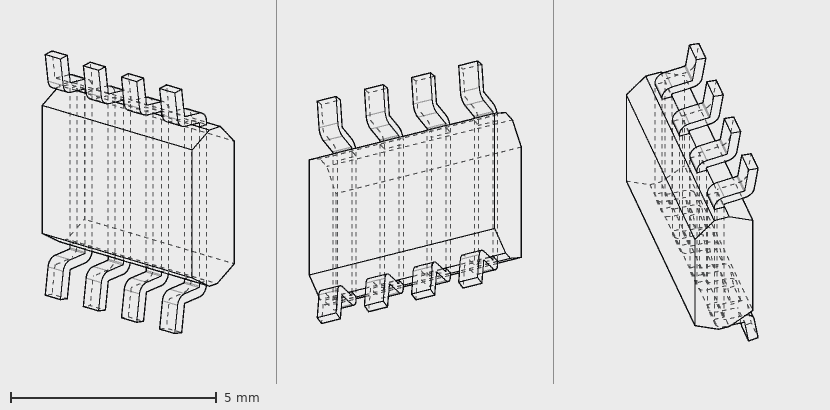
import cadquery as cq
import math

overall_height = 6.23

housing_width = 5.0
housing_depth = 1.495
housing_height = 4.0
bevel_depth = 0.61
bevel_height = 0.36
corner_bevel = 0.5

lead_count = 4
lead_pitch = 1.27
lead_width = 0.51
lead_thickness = 0.25
root_length = 0.08
arm_length = 0.505
arm_angle = math.radians(4)
foot_angle = math.radians(8)
bend_inner_radius = 0.025
bend_outer_radius = bend_inner_radius + lead_thickness


def make_housing_block():
    """Housing before the lead passages are cut, centred on the origin."""
    front = -housing_depth / 2
    rear = housing_depth / 2
    top = housing_height / 2
    outline = [
        (front, -top + bevel_height),
        (front + bevel_depth, -top),
        (rear - bevel_depth, -top),
        (rear, -top + bevel_height),
        (rear, top - corner_bevel),
        (rear - corner_bevel, top),
        (front + bevel_depth, top),
        (front, top - bevel_height),
    ]
    return cq.Workplane("YZ").polyline(outline).close().extrude(housing_width / 2, both=True)


def make_half_lead():
    """Upper half of a lead, centred on X = 0: stem, arm towards -Y, and foot."""
    half_thickness = lead_thickness / 2
    bend_start = housing_height / 2 + root_length

    stem_normal = cq.Vector(1, 0)
    arm_direction = cq.Vector(-math.cos(arm_angle), math.sin(arm_angle))
    arm_normal = cq.Vector(math.sin(arm_angle), math.cos(arm_angle))
    foot_direction = cq.Vector(-math.sin(foot_angle), math.cos(foot_angle))
    foot_normal = cq.Vector(-math.cos(foot_angle), -math.sin(foot_angle))
    shoulder_middle = (stem_normal + arm_normal).normalized()
    ankle_middle = (foot_normal - arm_normal).normalized()

    shoulder = cq.Vector(-half_thickness - bend_inner_radius, bend_start)
    ankle = (
        shoulder
        + arm_normal * (bend_outer_radius + bend_inner_radius)
        + arm_direction * arm_length
    )

    foot_rear_start = ankle + foot_normal * bend_inner_radius
    foot_length = (overall_height / 2 - foot_rear_start.y) / foot_direction.y
    foot_rear_end = foot_rear_start + foot_direction * foot_length

    def at(centre, direction, distance):
        point = centre + direction * distance
        return (point.x, point.y)

    inner = bend_inner_radius
    outer = bend_outer_radius
    outline = (
        cq.Workplane("YZ")
        .moveTo(-half_thickness, 0)
        .lineTo(half_thickness, 0)
        .lineTo(half_thickness, bend_start)
        .threePointArc(at(shoulder, shoulder_middle, outer), at(shoulder, arm_normal, outer))
        .lineTo(*at(ankle, -arm_normal, inner))
        .threePointArc(at(ankle, ankle_middle, inner), at(ankle, foot_normal, inner))
        .lineTo(foot_rear_end.x, foot_rear_end.y)
        .lineTo(*at(foot_rear_end, foot_normal, lead_thickness))
        .lineTo(*at(ankle, foot_normal, outer))
        .threePointArc(at(ankle, ankle_middle, outer), at(ankle, -arm_normal, outer))
        .lineTo(*at(shoulder, arm_normal, inner))
        .threePointArc(at(shoulder, shoulder_middle, inner), at(shoulder, stem_normal, inner))
        .close()
    )
    return outline.extrude(lead_width / 2, both=True)


def make_lead(x):
    """One lead at the given X, bent alike above and below the housing."""
    upper = make_half_lead()
    return upper.union(upper.mirror("XY")).clean().translate((x, 0, 0))


first_lead_x = -lead_pitch * (lead_count - 1) / 2
leads = [make_lead(first_lead_x + i * lead_pitch) for i in range(lead_count)]

housing = make_housing_block()
for lead in leads:
    housing = housing.cut(lead)

bodies = housing.solids().vals()
for lead in leads:
    bodies += lead.solids().vals()

result = cq.Compound.makeCompound(bodies)